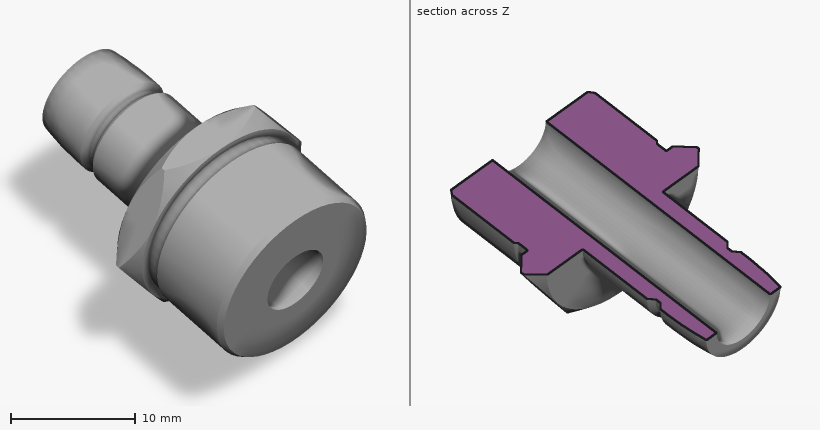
import cadquery as cq
import math

total_length = 26.0
nose_length = 4.0
groove_start = 5.0
groove_floor_start = 5.5
groove_floor_end = 6.0
groove_end = 6.5
hex_start = 14.0
hex_end = 17.0
neck_end = 18.05

bore_radius = 3.0
nose_tip_radius = 4.15
groove_radius = 4.03
stem_radius = 4.5
neck_radius = 7.77
body_radius = 8.0

end_chamfer_length = 0.5
end_chamfer_depth = 0.35

across_flats = 17.0
across_corners = across_flats / math.cos(math.pi / 6)
hex_face_radius = 8.48


def nose_arc_middle():
    """Point halfway along the nose arc, which meets the straight stem tangentially."""
    drop = stem_radius - nose_tip_radius
    arc_radius = (nose_length**2 + drop**2) / (2 * drop)
    half_angle = math.asin(nose_length / arc_radius) / 2
    x = nose_length - arc_radius * math.sin(half_angle)
    radius = stem_radius - arc_radius * (1 - math.cos(half_angle))
    return x, radius


def revolve_about_x(profile):
    return profile.close().revolve(360, (0, 0, 0), (1, 0, 0))


def make_stem():
    """Hose stem with a rounded nose and a V-sided groove."""
    profile = (
        cq.Workplane("XZ")
        .lineTo(0, nose_tip_radius)
        .threePointArc(nose_arc_middle(), (nose_length, stem_radius))
        .lineTo(groove_start, stem_radius)
        .lineTo(groove_floor_start, groove_radius)
        .lineTo(groove_floor_end, groove_radius)
        .lineTo(groove_end, stem_radius)
        .lineTo(hex_start, stem_radius)
        .lineTo(hex_start, 0)
    )
    return revolve_about_x(profile)


def make_collar():
    """Hexagon with its corners turned down by a 45 degree cone on both sides."""
    hexagon = (
        cq.Workplane("YZ", origin=(hex_start, 0, 0))
        .polygon(6, across_corners)
        .extrude(hex_end - hex_start)
    )
    cone_rise = (hex_end - hex_start) / 2
    profile = (
        cq.Workplane("XZ")
        .moveTo(hex_start, 0)
        .lineTo(hex_start, hex_face_radius)
        .lineTo(hex_start + cone_rise, hex_face_radius + cone_rise)
        .lineTo(hex_end, hex_face_radius)
        .lineTo(hex_end, 0)
    )
    return hexagon.intersect(revolve_about_x(profile))


def make_body():
    """Cylindrical body behind the collar, with a narrower neck and a chamfered end."""
    shoulder_chamfer = body_radius - neck_radius
    profile = (
        cq.Workplane("XZ")
        .moveTo(hex_end, 0)
        .lineTo(hex_end, neck_radius)
        .lineTo(neck_end, neck_radius)
        .lineTo(neck_end + shoulder_chamfer, body_radius)
        .lineTo(total_length - end_chamfer_length, body_radius)
        .lineTo(total_length, body_radius - end_chamfer_depth)
        .lineTo(total_length, 0)
    )
    return revolve_about_x(profile)


bore = cq.Workplane("YZ").circle(bore_radius).extrude(total_length)

result = make_stem().union(make_collar()).union(make_body()).cut(bore)